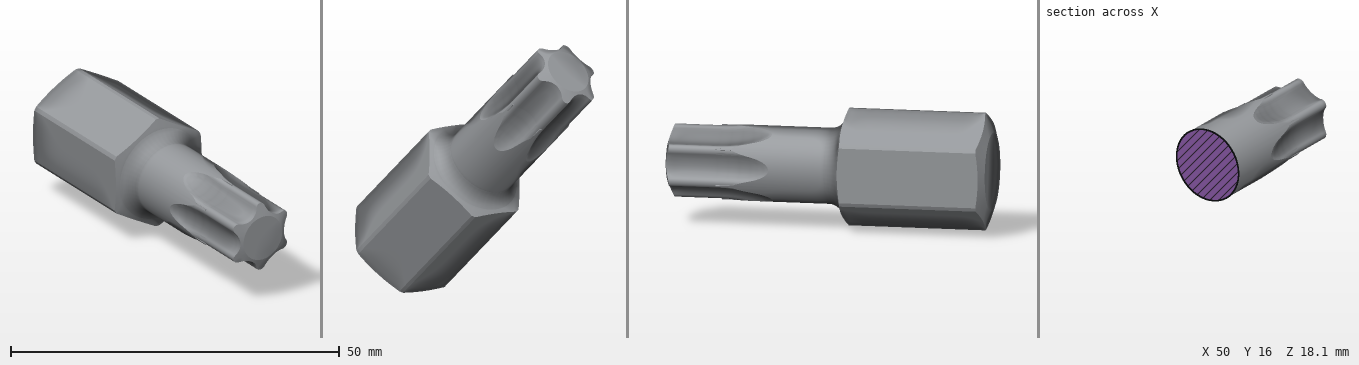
import cadquery as cq
import math

across_flats = 16.0
corner_radius = 9.05
head_length = 22.75
rear_face_radius = 6.0
rear_chamfer_length = 1.05
shoulder_chamfer_length = 0.5
neck_root_radius = 7.4

shank_radius = 5.8
neck_end = 25.05
shank_end = 41.95
neck_bulge = 0.14

total_length = 50.0
lobe_count = 6
lobe_tip_radius = 5.65
tip_chamfer_length = 0.8
tip_face_radius = 3.6

flute_root_radius = 4.05
flute_arc_radius = 2.85
crest_half_width = 0.125
runout_radius = 20.5
runout_angle = 35.0
cutter_overshoot = 2.0

half_pitch = math.pi / lobe_count
flute_centre = flute_root_radius + flute_arc_radius
arc_centre_distance = flute_arc_radius + lobe_tip_radius
lobe_centre_radius = (arc_centre_distance**2 - flute_centre**2) / (
    2 * (arc_centre_distance - flute_centre * math.cos(half_pitch))
)
lobe_radius = lobe_tip_radius - lobe_centre_radius
lobe_centre = (lobe_centre_radius * math.cos(half_pitch), lobe_centre_radius * math.sin(half_pitch))
touch_direction = math.atan2(lobe_centre[1], lobe_centre[0] - flute_centre)
touch_point = (
    flute_centre + flute_arc_radius * math.cos(touch_direction),
    flute_arc_radius * math.sin(touch_direction),
)


def make_turned_body():
    """Round envelope of the whole bit, revolved about X."""
    neck_length = neck_end - head_length
    neck_drop = neck_root_radius - shank_radius
    neck_middle = (
        head_length + neck_length / 2 - neck_bulge * neck_drop,
        shank_radius + neck_drop / 2 - neck_bulge * neck_length,
    )
    return (
        cq.Workplane("XY")
        .moveTo(0, 0)
        .lineTo(0, rear_face_radius)
        .lineTo(rear_chamfer_length, corner_radius)
        .lineTo(head_length - shoulder_chamfer_length, corner_radius)
        .lineTo(head_length, neck_root_radius)
        .threePointArc(neck_middle, (neck_end, shank_radius))
        .lineTo(total_length - tip_chamfer_length, shank_radius)
        .lineTo(total_length, tip_face_radius)
        .lineTo(total_length, 0)
        .close()
        .revolve(360, (0, 0, 0), (1, 0, 0))
    )


def make_hex_envelope():
    """Hexagonal prism with corners up and down; it clears the shank."""
    corner_diameter = across_flats / math.cos(math.pi / 6)
    return (
        cq.Workplane("YZ")
        .polygon(6, corner_diameter)
        .extrude(total_length)
        .rotate((0, 0, 0), (1, 0, 0), 90)
    )


def polar_point(radius, angle):
    """Point (y, z) at an angle measured from +Y."""
    return (radius * math.cos(angle), radius * math.sin(angle))


def offset_point(start, radius, angle):
    """Point (y, z) at a distance and an angle from a start point."""
    step = polar_point(radius, angle)
    return (start[0] + step[0], start[1] + step[1])


def mirrored(point):
    """Point reflected across the flute centre plane."""
    return (point[0], -point[1])


def make_lobed_tip():
    """Lobed bar from the end of the shank to the tip face."""
    touch_radius = math.hypot(*touch_point)
    touch_angle = math.atan2(touch_point[1], touch_point[0])
    outline = cq.Workplane("YZ", origin=(shank_end, 0, 0)).moveTo(*mirrored(touch_point))
    for index in range(lobe_count):
        turn = 2 * half_pitch * index
        flute_root = polar_point(flute_root_radius, turn)
        flute_exit = polar_point(touch_radius, turn + touch_angle)
        lobe_crest = polar_point(lobe_tip_radius, turn + half_pitch)
        lobe_exit = polar_point(touch_radius, turn + 2 * half_pitch - touch_angle)
        outline = outline.threePointArc(flute_root, flute_exit).threePointArc(lobe_crest, lobe_exit)
    return outline.close().extrude(total_length - shank_end)


def make_runout_cutter():
    """Flute centred on +Y that curves outwards through the shank surface."""
    crest_direction = half_pitch - math.asin(crest_half_width / lobe_radius)
    middle_direction = (touch_direction - math.pi + crest_direction) / 2
    crest = offset_point(lobe_centre, lobe_radius, crest_direction)
    middle = offset_point(lobe_centre, lobe_radius, middle_direction)
    outer = offset_point(crest, cutter_overshoot, half_pitch)

    pivot = flute_root_radius + runout_radius
    return (
        cq.Workplane("YZ", origin=(shank_end, 0, 0))
        .moveTo(*mirrored(outer))
        .lineTo(*mirrored(crest))
        .threePointArc(mirrored(middle), mirrored(touch_point))
        .threePointArc((flute_root_radius, 0), touch_point)
        .threePointArc(middle, crest)
        .lineTo(*outer)
        .close()
        .revolve(runout_angle, (pivot, 0, 0), (pivot, -1, 0))
    )


envelope = make_turned_body().intersect(make_hex_envelope())
shank_side = cq.Workplane("YZ").circle(across_flats).extrude(shank_end)
result = envelope.intersect(shank_side)
runout_cutter = make_runout_cutter()
for index in range(lobe_count):
    turn = index * 360 / lobe_count
    result = result.cut(runout_cutter.rotate((0, 0, 0), (1, 0, 0), turn))
result = result.union(envelope.intersect(make_lobed_tip()))